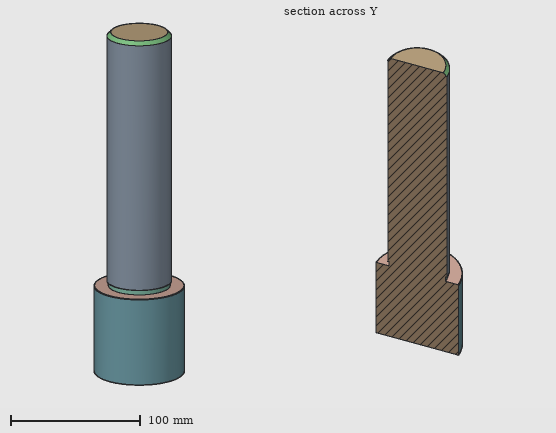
import cadquery as cq

total_length = 275.0
head_diameter = 69.8
head_length = 69.8
head_chamfer = 0.5
shank_diameter = 50.0
tip_chamfer = 3.0
neck_diameter = 47.8
neck_length = 3.8

head_radius = head_diameter / 2
shank_radius = shank_diameter / 2
neck_radius = neck_diameter / 2
shank_base = head_length + neck_length

profile = (
    cq.Workplane("XZ")
    .moveTo(0, 0)
    .lineTo(head_radius - head_chamfer, 0)
    .lineTo(head_radius, head_chamfer)
    .lineTo(head_radius, head_length - head_chamfer)
    .lineTo(head_radius - head_chamfer, head_length)
    .lineTo(neck_radius, head_length)
    .lineTo(neck_radius, shank_base)
    .lineTo(shank_radius, shank_base)
    .lineTo(shank_radius, total_length - tip_chamfer)
    .lineTo(shank_radius - tip_chamfer, total_length)
    .lineTo(0, total_length)
    .close()
)

result = profile.revolve(360, (0, 0, 0), (0, 1, 0))